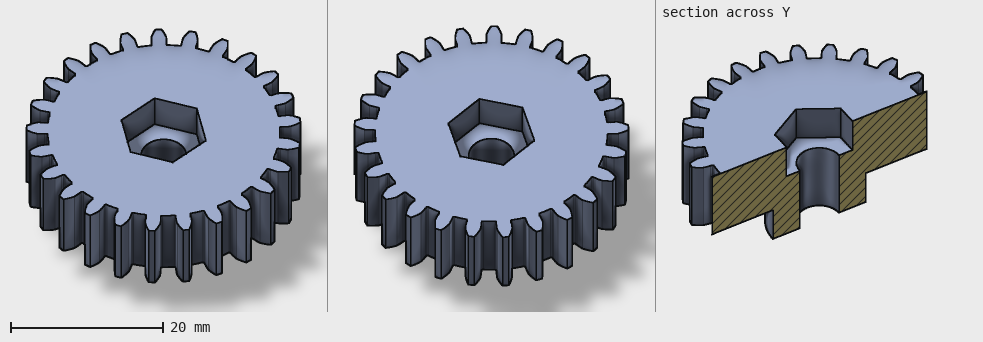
import cadquery as cq
import math

tooth_count = 25
tip_radius = 18.01
module = 4 / 3
pitch_radius = module * tooth_count / 2
pressure_angle = 20
base_radius = pitch_radius * math.cos(math.radians(pressure_angle))
root_radius = 15.24
root_fillet = 0.18
gear_thickness = 10.0
tooth_pitch_angle = 360 / tooth_count
first_tooth_angle = -90

base_half_angle = tooth_pitch_angle / 4
dedendum_half_angle = 3.55
pitch_half_angle = 3.4
addendum_half_angle = 2.47
tip_half_angle = 1.3
dedendum_middle_radius = (base_radius + pitch_radius) / 2
addendum_middle_radius = (pitch_radius + tip_radius) / 2

fillet_center_radius = root_radius + root_fillet
fillet_span = math.asin(root_fillet / fillet_center_radius)
fillet_flank_radius = fillet_center_radius * math.cos(fillet_span)
root_half_angle = base_half_angle + math.degrees(fillet_span)
fillet_middle_turn = (math.pi / 2 - fillet_span) / 2
fillet_middle_along = fillet_center_radius - root_fillet * math.cos(fillet_middle_turn)
fillet_middle_across = root_fillet * math.sin(fillet_middle_turn)
fillet_middle_radius = math.hypot(fillet_middle_along, fillet_middle_across)
fillet_middle_offset = math.degrees(math.atan2(fillet_middle_across, fillet_middle_along))
fillet_middle_half_angle = root_half_angle - fillet_middle_offset

hub_diameter = 14.3
hub_length = 5.0

bore_diameter = 6.0
hex_across_flats = 10.1
hex_depth = 5.0
hex_turn = 30


def polar(radius, degrees):
    angle = math.radians(degrees)
    return (radius * math.cos(angle), radius * math.sin(angle))


def add_tooth(outline, center):
    """Continue the outline over one tooth and the root gap that follows it."""
    return (
        outline
        .threePointArc(
            polar(fillet_middle_radius, center - fillet_middle_half_angle),
            polar(fillet_flank_radius, center - base_half_angle),
        )
        .lineTo(*polar(base_radius, center - base_half_angle))
        .threePointArc(
            polar(dedendum_middle_radius, center - dedendum_half_angle),
            polar(pitch_radius, center - pitch_half_angle),
        )
        .threePointArc(
            polar(addendum_middle_radius, center - addendum_half_angle),
            polar(tip_radius, center - tip_half_angle),
        )
        .threePointArc(polar(tip_radius, center), polar(tip_radius, center + tip_half_angle))
        .threePointArc(
            polar(addendum_middle_radius, center + addendum_half_angle),
            polar(pitch_radius, center + pitch_half_angle),
        )
        .threePointArc(
            polar(dedendum_middle_radius, center + dedendum_half_angle),
            polar(base_radius, center + base_half_angle),
        )
        .lineTo(*polar(fillet_flank_radius, center + base_half_angle))
        .threePointArc(
            polar(fillet_middle_radius, center + fillet_middle_half_angle),
            polar(root_radius, center + root_half_angle),
        )
        .threePointArc(
            polar(root_radius, center + tooth_pitch_angle / 2),
            polar(root_radius, center + tooth_pitch_angle - root_half_angle),
        )
    )


def make_gear():
    outline = cq.Workplane("XY").moveTo(*polar(root_radius, first_tooth_angle - root_half_angle))
    for index in range(tooth_count):
        outline = add_tooth(outline, first_tooth_angle + index * tooth_pitch_angle)
    return outline.close().extrude(gear_thickness)


def make_hub():
    return cq.Workplane("XY").circle(hub_diameter / 2).extrude(-hub_length)


def make_bore():
    return (
        cq.Workplane("XY", origin=(0, 0, -hub_length))
        .circle(bore_diameter / 2)
        .extrude(hub_length + gear_thickness)
    )


def make_hex_recess():
    across_corners = hex_across_flats / math.cos(math.pi / 6)
    return (
        cq.Workplane("XY", origin=(0, 0, gear_thickness))
        .polygon(6, across_corners)
        .extrude(-hex_depth)
        .rotate((0, 0, 0), (0, 0, 1), hex_turn)
    )


result = make_gear().union(make_hub()).cut(make_bore()).cut(make_hex_recess())